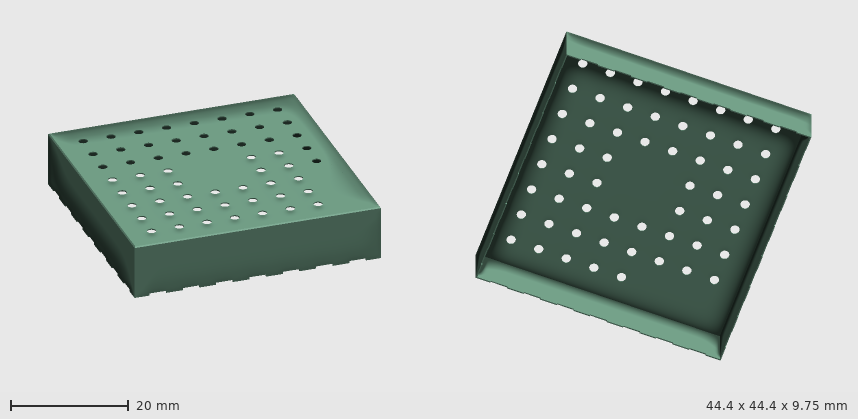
import cadquery as cq

side = 44.37
height = 9.75
sheet = 0.2
edge_bevel = sheet

hole_diameter = 1.6
hole_pitch = 5.0
holes_per_row = 8
middle_blank = range(3, 5)
label_columns = range(5, 8)
label_row = holes_per_row - 1

notch_count = 7
notch_width = 3.0
notch_pitch = 2 * notch_width
notch_depth = 0.4


def centred_positions(count, pitch):
    return [(index - (count - 1) / 2) * pitch for index in range(count)]


def make_block(width, block_height):
    """Square block standing on the XY plane, centred on the Z axis."""
    return cq.Workplane("XY").box(width, width, block_height, centered=(True, True, False))


def make_shell():
    outer = make_block(side, height).faces(">Z").edges().chamfer(edge_bevel)
    cavity = make_block(side - 2 * sheet, height - sheet)
    return outer.cut(cavity)


def is_perforated(column, row):
    in_middle = column in middle_blank and row in middle_blank
    in_label = row == label_row and column in label_columns
    return not (in_middle or in_label)


def make_holes():
    """Cylinders that pass through the top sheet only."""
    positions = centred_positions(holes_per_row, hole_pitch)
    centres = [
        (x, y)
        for column, x in enumerate(positions)
        for row, y in enumerate(positions)
        if is_perforated(column, row)
    ]
    return (
        cq.Workplane("XY")
        .workplane(offset=height)
        .pushPoints(centres)
        .circle(hole_diameter / 2)
        .extrude(-sheet)
    )


def make_notches(plane):
    """Bars that notch the rim of both walls facing along the plane's normal."""
    centres = [(position, 0) for position in centred_positions(notch_count, notch_pitch)]
    return (
        cq.Workplane(plane)
        .pushPoints(centres)
        .rect(notch_width, 2 * notch_depth)
        .extrude(side, both=True)
    )


result = make_shell().cut(make_holes())
for wall_plane in ("XZ", "YZ"):
    result = result.cut(make_notches(wall_plane))